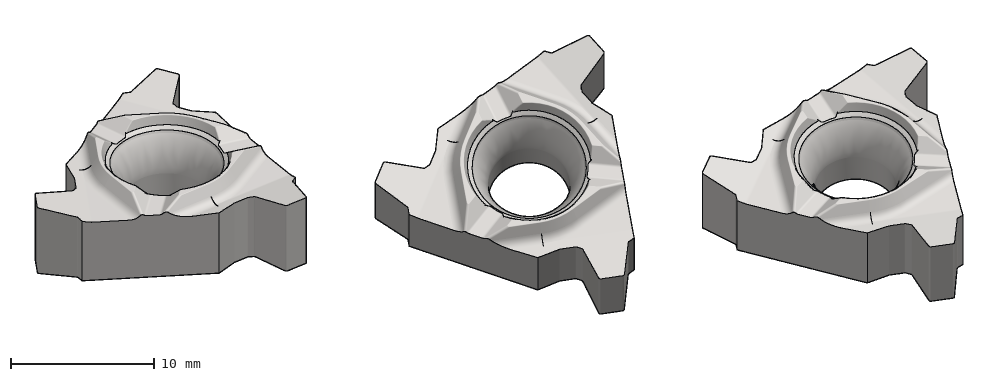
import cadquery as cq
import math

inscribed_radius = 6.35
total_height = 6.05
floor_height = 4.955
sector_angles = (0, 120, 240)

tooth_reach = 9.57
tooth_center_x = -4.265
tip_half_width = 0.882
tooth_root_y = 6.82
flank_angle = 15
tip_height = 5.6
rake_angle = 10
tip_radius = 0.16
root_radius = 0.12

shoulder_angle = 30
relief_y = 6.58
relief_start_x = -1.09
relief_angle = 15

boss_radius = 4.8
boss_draft = 35
boss_arc_span = 30
groove_radius = 0.8

slot_angle = 45
slot_floor_height = 5.26
slot_floor_half_width = 0.53
slot_top_half_width = 1.57
slot_offset = 0.1
slot_floor_radius = 0.3
ridge_radius = 0.18
rim_radius = 0.06
slot_mouth_radius = 0.08

hole_radius = 5.7 / 2
seat_radius = 3.87
seat_bottom = 2.25
seat_top = 4.98
lip_radius = 3.98
lip_height = 5.17
ledge_radius = 4.1
ledge_height = 5.26
recess_floor_radius = 4.3
recess_wall_bottom = 5.4
recess_top_radius = 4.55

blank_radius = 14
cutter_height = 2.0
selection_margin = 0.05
height_tolerance = 0.01


def tan(angle):
    return math.tan(math.radians(angle))


def turned(point, angle):
    x, y = point
    cosine = math.cos(math.radians(angle))
    sine = math.sin(math.radians(angle))
    return (x * cosine - y * sine, x * sine + y * cosine)


def about_axis(shape, angle):
    return shape.rotate((0, 0, 0), (0, 0, 1), angle)


def tooth_points():
    """Outline of one tooth sector, from its left side face to its relief."""
    root_half_width = tip_half_width + (tooth_reach - tooth_root_y) * tan(flank_angle)
    left_root_x = tooth_center_x - root_half_width
    right_root_x = tooth_center_x + root_half_width
    left_drop = (left_root_x + inscribed_radius) * tan(shoulder_angle)
    relief_root_x = right_root_x + (tooth_root_y - relief_y) / tan(shoulder_angle)
    normal_x, normal_y = turned((1, 0), 60)
    slope = tan(relief_angle)
    relief_height_at_axis = relief_y - slope * relief_start_x
    relief_end_x = (inscribed_radius - normal_y * relief_height_at_axis) / (normal_x + normal_y * slope)
    relief_end_y = relief_height_at_axis + slope * relief_end_x
    return [
        (-inscribed_radius, tooth_root_y - left_drop),
        (left_root_x, tooth_root_y),
        (tooth_center_x - tip_half_width, tooth_reach),
        (tooth_center_x + tip_half_width, tooth_reach),
        (right_root_x, tooth_root_y),
        (relief_root_x, relief_y),
        (relief_start_x, relief_y),
        (relief_end_x, relief_end_y),
    ]


def outline_prism():
    sector = tooth_points()
    points = [turned(p, -angle) for angle in sector_angles for p in sector]
    prism = cq.Workplane("XY").polyline(points).close().extrude(total_height)
    rounded = ((1, root_radius), (2, tip_radius), (3, tip_radius), (4, root_radius), (5, root_radius))
    for index, radius in rounded:
        for angle in sector_angles:
            x, y = turned(sector[index], -angle)
            low_corner = (x - selection_margin, y - selection_margin, 0)
            high_corner = (x + selection_margin, y + selection_margin, total_height)
            corner = cq.selectors.BoxSelector(low_corner, high_corner)
            prism = prism.edges("|Z").edges(corner).fillet(radius)
    return prism


def rake_wedge():
    """Solid under the rake face of the +Y tooth, rising outward from the land."""
    start_y = tooth_reach - (tip_height - floor_height) / tan(rake_angle)
    end_height = floor_height + (blank_radius - start_y) * tan(rake_angle)
    tangent_length = groove_radius * tan(rake_angle / 2)
    round_end = (
        start_y + tangent_length * math.cos(math.radians(rake_angle)),
        floor_height + tangent_length * math.sin(math.radians(rake_angle)),
    )
    round_start_y = start_y - tangent_length
    round_middle = (
        round_start_y + groove_radius * math.sin(math.radians(rake_angle / 2)),
        floor_height + groove_radius * (1 - math.cos(math.radians(rake_angle / 2))),
    )
    return (
        cq.Workplane("YZ")
        .moveTo(round_start_y, floor_height)
        .threePointArc(round_middle, round_end)
        .lineTo(blank_radius, end_height)
        .lineTo(blank_radius, 0)
        .lineTo(round_start_y, 0)
        .close()
        .extrude(blank_radius, both=True)
    )


def boss_profile(land_height, land_tilt):
    """Radial half section of the boss: top, drafted wall and a round running into the land.

    land_height is the height of the land's plane at the axis, land_tilt its outward rise.
    """
    draft = math.radians(boss_draft)
    tilt = math.radians(land_tilt)
    base_radius = boss_radius + total_height * math.tan(draft)
    wall_offset = base_radius + groove_radius / math.cos(draft)
    land_offset = land_height + groove_radius / math.cos(tilt)
    center_z = (land_offset + wall_offset * math.tan(tilt)) / (1 + math.tan(draft) * math.tan(tilt))
    center_r = wall_offset - center_z * math.tan(draft)

    def on_round(angle):
        return (center_r + groove_radius * math.cos(angle), center_z + groove_radius * math.sin(angle))

    wall_end_angle = -math.pi + draft
    land_start_angle = -math.pi / 2 + tilt
    middle = on_round((wall_end_angle + land_start_angle) / 2)
    land_start = on_round(land_start_angle)
    return (
        cq.Workplane("XZ")
        .moveTo(0, total_height)
        .lineTo(boss_radius, total_height)
        .lineTo(*on_round(wall_end_angle))
        .threePointArc(middle, land_start)
        .lineTo(land_start[0], 0)
        .lineTo(0, 0)
        .close()
    )


def boss_sector():
    """Third of the boss: two straight walls meeting square at a corner, then a round stretch."""
    rake_height_at_axis = tip_height - tooth_reach * tan(rake_angle)
    land_wall = boss_profile(floor_height, 0).extrude(-blank_radius)
    rake_wall = about_axis(boss_profile(rake_height_at_axis, rake_angle).extrude(blank_radius), 90)
    round_wall = about_axis(boss_profile(floor_height, 0).revolve(boss_arc_span, (0, 0), (0, 1)), 90)
    return land_wall.intersect(rake_wall).union(round_wall)


def slot_cutter():
    """Radial trapezoidal slot with rounded floor edges, running outward along -Y."""
    wall_slope = (slot_top_half_width - slot_floor_half_width) / (total_height - slot_floor_height)
    mouth_half_width = slot_floor_half_width + cutter_height * wall_slope
    return (
        cq.Workplane("XZ")
        .moveTo(-slot_floor_half_width, slot_floor_height)
        .lineTo(slot_floor_half_width, slot_floor_height)
        .lineTo(mouth_half_width, slot_floor_height + cutter_height)
        .lineTo(-mouth_half_width, slot_floor_height + cutter_height)
        .close()
        .extrude(blank_radius)
        .edges("|Y and <Z")
        .fillet(slot_floor_radius)
        .translate((slot_offset, 0, 0))
    )


def bore_cutter():
    """Cylindrical hole, rounded screw seat and the recess in the boss top."""
    rise = seat_top - seat_bottom
    run = seat_radius - hole_radius
    arc_radius = (rise**2 + run**2) / (2 * run)
    half_sweep = math.asin(rise / arc_radius) / 2
    seat_middle = (
        hole_radius + arc_radius * (1 - math.cos(half_sweep)),
        seat_bottom + arc_radius * math.sin(half_sweep),
    )
    return (
        cq.Workplane("XZ")
        .lineTo(hole_radius, 0)
        .lineTo(hole_radius, seat_bottom)
        .threePointArc(seat_middle, (seat_radius, seat_top))
        .lineTo(lip_radius, lip_height)
        .lineTo(ledge_radius, ledge_height)
        .lineTo(recess_floor_radius, recess_wall_bottom)
        .lineTo(recess_top_radius, total_height)
        .lineTo(0, total_height)
        .close()
        .revolve(360, (0, 0), (0, 1))
    )


def edges_falling_from_top(solid):
    """Pairs of edge and middle radius for edges that run from the boss top toward the slot floors."""
    found = []
    for edge in solid.edges().vals():
        box = edge.BoundingBox()
        reaches_top = box.zmax > total_height - height_tolerance
        falls = floor_height < box.zmin < total_height - rim_radius
        if reaches_top and falls:
            middle = edge.Center()
            found.append((edge, math.hypot(middle.x, middle.y)))
    return found


def ridge_edges(solid):
    """Edges between slot walls and boss walls; joints in the boss wall itself lie closer in."""
    wall_run = (total_height - floor_height) * tan(boss_draft)
    joint_limit = boss_radius + wall_run / 2
    return [edge for edge, radius in edges_falling_from_top(solid) if radius > joint_limit]


def slot_mouth_edges(solid):
    """Curved edges between slot walls and the recess wall."""
    return [edge for edge, radius in edges_falling_from_top(solid) if radius < recess_top_radius]


body = cq.Workplane("XY").circle(blank_radius).extrude(floor_height)
for angle in sector_angles:
    body = body.union(about_axis(rake_wedge(), angle))
for angle in sector_angles:
    body = body.union(about_axis(boss_sector(), angle))
for angle in sector_angles:
    body = body.cut(about_axis(slot_cutter(), angle + 90 + slot_angle))
body = body.intersect(outline_prism())
body = body.newObject(ridge_edges(body)).fillet(ridge_radius)
body = body.cut(bore_cutter())
body = body.newObject(slot_mouth_edges(body)).fillet(slot_mouth_radius)
result = body.faces(">Z").edges().fillet(rim_radius)